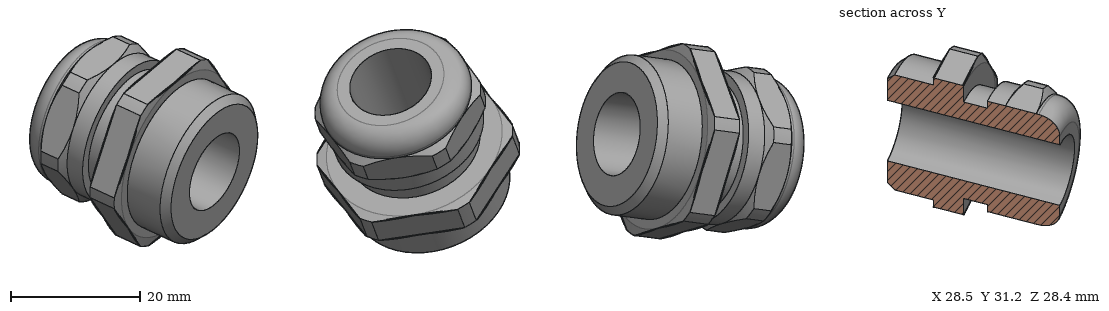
import cadquery as cq
import math


bore_diameter = 13.0
cap_diameter = 24.0
neck_diameter = 21.0
thread_diameter = 25.0

dome_radius = 3.5
cap_hex_start = 3.9
cap_hex_end = 8.98
cap_end = 11.98
body_hex_start = 15.88
body_hex_end = 20.95
total_length = 28.5
thread_chamfer = 1.22

cap_hex_flats = cap_diameter
cap_hex_corners = 26.4
cap_hex_chamfer = 0.9
body_hex_flats = 28.0
body_hex_corners = 31.2
body_hex_chamfer = 0.22

body_hex_flats_swollen = 28.35
swelling_inset = 0.1
swelling_width = 0.12


def cylinder(start, end, diameter):
    """Solid cylinder around X from start to end."""
    return cq.Workplane("YZ", origin=(start, 0, 0)).circle(diameter / 2).extrude(end - start)


def revolve_about_x(profile):
    """Turn a closed profile, drawn as (x, radius), around the X axis."""
    return profile.close().revolve(360, (0, 0, 0), (1, 0, 0))


def hex_prism(start, end, flats):
    """Sharp hexagonal prism with corners on +Y and -Y."""
    sharp_diameter = flats / math.cos(math.pi / 6)
    return cq.Workplane("YZ", origin=(start, 0, 0)).polygon(6, sharp_diameter).extrude(end - start)


def corner_limit(start, end, flats, corners, chamfer):
    """Turned envelope that rounds the corners of a hexagon and chamfers them at both ends."""
    face_radius = flats / 2
    corner_radius = corners / 2
    profile = (
        cq.Workplane("XY")
        .moveTo(start, 0)
        .lineTo(start, face_radius)
        .lineTo(start + chamfer, corner_radius)
        .lineTo(end - chamfer, corner_radius)
        .lineTo(end, face_radius)
        .lineTo(end, 0)
    )
    return revolve_about_x(profile)


def swollen_hex(start, flats, swollen_flats):
    """Thin hexagonal slice whose every flat carries two shallow arcs, one on each half."""
    apothem = flats / 2
    peak = swollen_flats / 2
    half_side = apothem * math.tan(math.pi / 6)

    def on_flat(index, along, out):
        angle = math.radians(90 + 60 * index)
        y = out * math.cos(angle) - along * math.sin(angle)
        z = out * math.sin(angle) + along * math.cos(angle)
        return (y, z)

    outline = cq.Workplane("YZ", origin=(start, 0, 0)).moveTo(*on_flat(0, -half_side, apothem))
    for index in range(6):
        middle = on_flat(index, 0, apothem)
        corner = on_flat(index, half_side, apothem)
        outline = outline.threePointArc(on_flat(index, -half_side / 2, peak), middle)
        outline = outline.threePointArc(on_flat(index, half_side / 2, peak), corner)
    return outline.close().extrude(swelling_width)


cap = cylinder(0, cap_end, cap_diameter).faces("<X").edges().fillet(dome_radius)
cap_hex = hex_prism(cap_hex_start, cap_hex_end, cap_hex_flats).intersect(
    corner_limit(cap_hex_start, cap_hex_end, cap_hex_flats, cap_hex_corners, cap_hex_chamfer)
)

neck = cylinder(cap_end, body_hex_start, neck_diameter)
body_hex = hex_prism(body_hex_start, body_hex_end, body_hex_flats)
for swelling_start in (
    body_hex_start + swelling_inset,
    body_hex_end - swelling_inset - swelling_width,
):
    body_hex = body_hex.union(swollen_hex(swelling_start, body_hex_flats, body_hex_flats_swollen))
body_hex = body_hex.intersect(
    corner_limit(body_hex_start, body_hex_end, body_hex_flats, body_hex_corners, body_hex_chamfer)
)
thread = cylinder(body_hex_end, total_length, thread_diameter).faces(">X").edges().chamfer(thread_chamfer)

passage = cylinder(0, total_length, bore_diameter)
result = cap.union(cap_hex).union(neck).union(body_hex).union(thread).cut(passage)